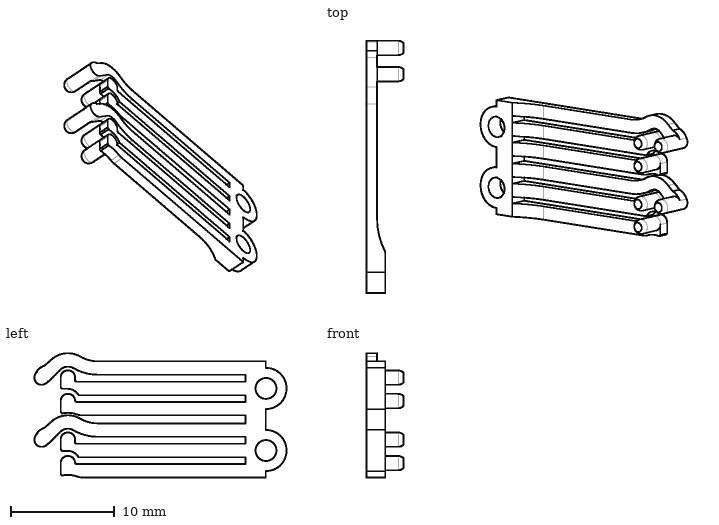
import cadquery as cq
import math

finger_thickness = 1.05
root_thickness = 1.83
pin_end = 3.6
set_pitch = 5.99
set_count = 2

finger_width = 1.31
middle_finger_bottom = 1.95
hook_finger_bottom = 3.92
set_height = hook_finger_bottom + finger_width
slot_end = 2.0
ramp_length = 3.2

hole_diameter = 2.0
ear_radius = 2.0
ear_height = 2.6

head_radius = 0.7
head_y = 19.1
low_head_z = 1.39
middle_head_z = 3.65
head_side_y = head_y + head_radius
head_inner_y = head_y - head_radius
head_fillet = 0.15
middle_head_bottom = 2.55
relief_radius = 1.17
low_relief_radius = 2.58
low_relief_blend = 1.22
pin_diameter = 1.4
pin_dome_length = 0.54

hook_outer_radius = 2.35
hook_inner_radius = hook_outer_radius - finger_width
hook_rise = hook_outer_radius + middle_head_z - set_height
hook_blend_radius = 3.3
hook_end_angle = 46
tip_y = 22.35 - head_radius
tip_z = middle_head_z
upper_neck = (tip_y - 0.3, tip_z + 1.17)
lower_neck = (tip_y - 0.8, tip_z - 0.27)
tip_crown_radius = 1.45
tip_end_angle = -125


def polar(center, radius, degrees):
    angle = math.radians(degrees)
    return (center[0] + radius * math.cos(angle), center[1] + radius * math.sin(angle))


def blend_angle(rise, first_radius, second_radius):
    """Turn in degrees of two opposed tangent arcs that together climb by rise."""
    return math.degrees(math.acos(1 - rise / (first_radius + second_radius)))


def extrude_finger(outline):
    return outline.close().extrude(finger_thickness)


def hook_finger():
    center = (head_y, middle_head_z)
    tip = (tip_y, tip_z)
    turn = blend_angle(hook_rise, hook_outer_radius, hook_blend_radius)
    blend_y = head_y - (hook_outer_radius + hook_blend_radius) * math.sin(math.radians(turn))
    blend_center = (blend_y, set_height + hook_blend_radius)
    lower_blend_radius = hook_blend_radius + finger_width
    bend_start = 90 + turn
    outline = (
        cq.Workplane("YZ")
        .moveTo(slot_end, hook_finger_bottom)
        .lineTo(slot_end, set_height)
        .lineTo(blend_y, set_height)
        .threePointArc(
            polar(blend_center, hook_blend_radius, -90 + turn / 2),
            polar(center, hook_outer_radius, bend_start),
        )
        .threePointArc(
            polar(center, hook_outer_radius, 90),
            polar(center, hook_outer_radius, hook_end_angle),
        )
        .lineTo(*upper_neck)
        .radiusArc((tip_y + head_radius, tip_z), tip_crown_radius)
        .threePointArc(
            polar(tip, head_radius, tip_end_angle / 2),
            polar(tip, head_radius, tip_end_angle),
        )
        .lineTo(*lower_neck)
        .lineTo(*polar(center, hook_inner_radius, hook_end_angle))
        .threePointArc(
            polar(center, hook_inner_radius, 90),
            polar(center, hook_inner_radius, bend_start),
        )
        .threePointArc(
            polar(blend_center, lower_blend_radius, -90 + turn / 2),
            (blend_y, hook_finger_bottom),
        )
    )
    return extrude_finger(outline)


def headed_outline(bottom, head_z):
    """Open outline from the finger root, over the round head, to the head's outer side."""
    top = bottom + finger_width
    return (
        cq.Workplane("YZ")
        .moveTo(slot_end, bottom)
        .lineTo(slot_end, top)
        .lineTo(head_inner_y - head_fillet, top)
        .radiusArc((head_inner_y, top + head_fillet), -head_fillet)
        .lineTo(head_inner_y, head_z)
        .threePointArc((head_y, head_z + head_radius), (head_side_y, head_z))
    )


def middle_finger():
    """Its underside is relieved around the low head."""
    center = (head_y, low_head_z)
    end_angle = 180 - math.degrees(math.asin((middle_finger_bottom - low_head_z) / relief_radius))
    outline = (
        headed_outline(middle_finger_bottom, middle_head_z)
        .lineTo(head_side_y, middle_head_bottom + head_fillet)
        .lineTo(head_side_y - head_fillet, middle_head_bottom)
        .lineTo(head_y, low_head_z + relief_radius)
        .threePointArc(
            polar(center, relief_radius, (90 + end_angle) / 2),
            polar(center, relief_radius, end_angle),
        )
    )
    return extrude_finger(outline)


def low_finger():
    """Its underside is relieved around the hook of the set below."""
    center = (head_y, middle_head_z - set_pitch)
    rise = center[1] + low_relief_radius
    turn = blend_angle(rise, low_relief_radius, low_relief_blend)
    blend_y = head_y - (low_relief_radius + low_relief_blend) * math.sin(math.radians(turn))
    corner_y = head_side_y - head_fillet
    corner_drop = low_relief_radius - math.sqrt(low_relief_radius**2 - (corner_y - head_y) ** 2)
    corner_z = rise - corner_drop
    outline = (
        headed_outline(0, low_head_z)
        .lineTo(head_side_y, corner_z + head_fillet)
        .lineTo(corner_y, corner_z)
        .threePointArc((head_y, rise), polar(center, low_relief_radius, 90 + turn))
        .threePointArc(
            polar((blend_y, low_relief_blend), low_relief_blend, -90 + turn / 2),
            (blend_y, 0),
        )
    )
    return extrude_finger(outline)


def pin(y, z):
    """Round pin ending in a tangent spherical dome cut flat at the tip."""
    radius = pin_diameter / 2
    dome_start = pin_end - pin_dome_length
    flat_radius = math.sqrt(radius**2 - pin_dome_length**2)
    return (
        cq.Workplane("XY")
        .lineTo(0, radius)
        .lineTo(dome_start, radius)
        .radiusArc((pin_end, flat_radius), radius)
        .lineTo(pin_end, 0)
        .close()
        .revolve(360, (0, 0), (1, 0))
        .translate((0, y, z))
    )


def root_ramp():
    """Concave ramp that thickens each finger towards the root."""
    step = root_thickness - finger_thickness
    ramp_radius = (ramp_length**2 + step**2) / (2 * step)
    return (
        cq.Workplane("XY")
        .moveTo(0, slot_end)
        .lineTo(root_thickness, slot_end)
        .radiusArc((finger_thickness, slot_end + ramp_length), ramp_radius)
        .lineTo(0, slot_end + ramp_length)
        .close()
        .extrude(finger_width)
    )


def finger_set():
    fingers = hook_finger().union(middle_finger()).union(low_finger())
    for bottom in (0, middle_finger_bottom, hook_finger_bottom):
        fingers = fingers.union(root_ramp().translate((0, 0, bottom)))
    for y, z in ((tip_y, tip_z), (head_y, middle_head_z), (head_y, low_head_z)):
        fingers = fingers.union(pin(y, z))
    return fingers


plate_height = set_height + (set_count - 1) * set_pitch
result = cq.Workplane("XY").box(root_thickness, slot_end, plate_height, centered=False)
fingers = finger_set()
ear = cq.Workplane("YZ").circle(ear_radius).extrude(root_thickness)
hole = cq.Workplane("YZ").circle(hole_diameter / 2).extrude(root_thickness)
for index in range(set_count):
    base_z = index * set_pitch
    ear_position = (0, 0, base_z + ear_height)
    result = result.union(fingers.translate((0, 0, base_z)))
    result = result.union(ear.translate(ear_position)).cut(hole.translate(ear_position))